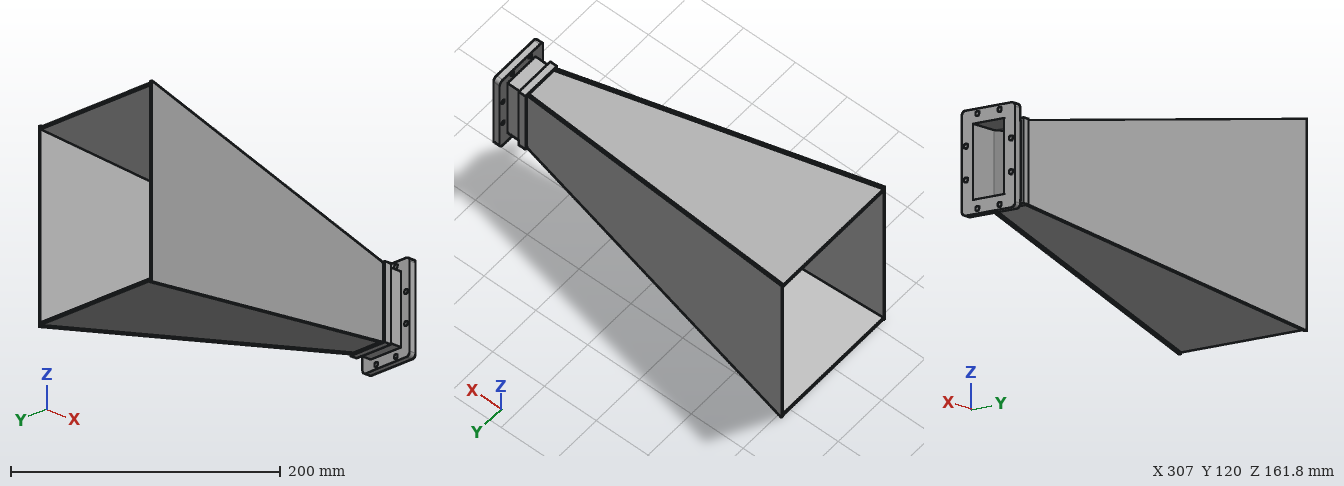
import cadquery as cq

total_length = 307
flange_thickness = 6.0
neck_length = 12.5
collar_length = 6.5
flange_start = total_length - flange_thickness
neck_start = flange_start - neck_length
horn_length = neck_start - collar_length

bore = (29.2, 58.0)
mouth_outer_width = 120.0
mouth_outer_height = 161.8
flange = (50.5, 80.0)

plate_thickness = 2.0
side_plate_lip = 1.07
neck_wall = 1.5
collar_wall = 3.7

flange_corner_radius = 3.7
hole_diameter = 3.7
end_hole_spacing = 21.0
end_hole_height = 36.2
side_hole_spacing = 25.8
side_hole_offset = 21.2


def grow(section, wall_y, wall_z):
    """Add a wall on both sides of a section in Y and in Z."""
    return (section[0] + 2 * wall_y, section[1] + 2 * wall_z)


def straight(section, start, length):
    """Rectangular block running along X."""
    return cq.Workplane("YZ", origin=(start, 0, 0)).rect(*section).extrude(length)


def taper(mouth_section, throat_section):
    """Tapered block running from the mouth to the end of the horn."""
    return (
        cq.Workplane("YZ")
        .rect(*mouth_section)
        .workplane(offset=horn_length)
        .rect(*throat_section)
        .loft(ruled=True)
    )


plate_and_lip = plate_thickness + side_plate_lip
mouth = (
    mouth_outer_width - 2 * plate_thickness,
    mouth_outer_height - 2 * plate_and_lip,
)


def make_horn():
    """Four tapered plates; the side plates stand proud of the top and bottom ones."""
    side_plates = taper(
        grow(mouth, plate_thickness, plate_and_lip),
        grow(bore, plate_thickness, plate_and_lip),
    ).cut(taper(grow(mouth, 0, plate_and_lip), grow(bore, 0, plate_and_lip)))
    end_plates = taper(grow(mouth, 0, plate_thickness), grow(bore, 0, plate_thickness))
    return side_plates.union(end_plates).cut(taper(mouth, bore))


def make_flange():
    """Rounded flange with a pair of bolt holes along each of its four edges."""
    plate = straight(flange, flange_start, flange_thickness)
    plate = plate.edges("|X").fillet(flange_corner_radius)
    hole_places = []
    for y_side in (-1, 1):
        for z_side in (-1, 1):
            hole_places.append((y_side * end_hole_spacing / 2, z_side * end_hole_height))
            hole_places.append((y_side * side_hole_offset, z_side * side_hole_spacing / 2))
    holes = (
        cq.Workplane("YZ", origin=(flange_start, 0, 0))
        .pushPoints(hole_places)
        .circle(hole_diameter / 2)
        .extrude(flange_thickness)
    )
    return plate.cut(holes)


collar = straight(grow(bore, collar_wall, collar_wall), horn_length, collar_length)
neck = straight(grow(bore, neck_wall, neck_wall), neck_start, neck_length)
waveguide = collar.union(neck).union(make_flange())
waveguide = waveguide.cut(straight(bore, horn_length, total_length - horn_length))

result = make_horn().union(waveguide)